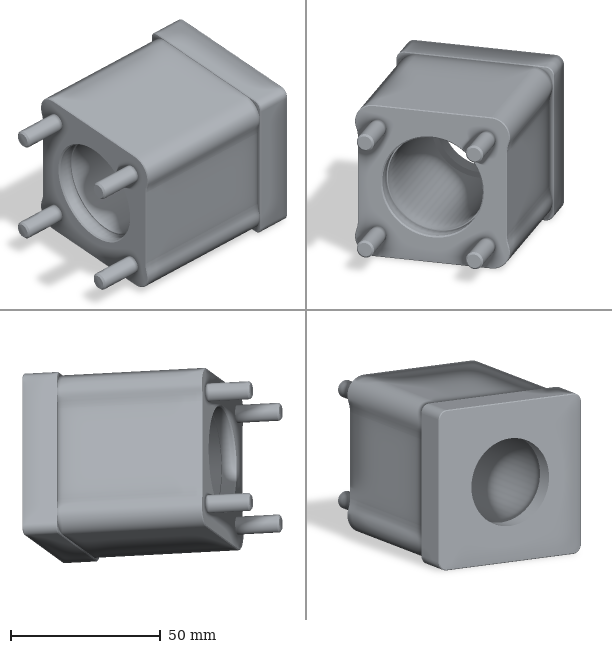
import cadquery as cq
import math

flange_length = 12.0
pin_length = 15.0
total_length = 77.0
body_length = total_length - flange_length - pin_length

flange_size = 55.0
flange_corner_radius = 3.0
body_size = 54.0
body_corner_radius = 6.5
waist_depth = 1.0
waist_blend_radius = 10.0
edge_chamfer = 0.3

bore_diameter = 30.0
counterbore_diameter = 34.0
mouth_diameter = 35.0
mouth_depth = 5.0
mouth_chamfer = 0.5
bore_floor_thickness = 6.0

pin_diameter = 6.0
pin_spacing = 38.0
pin_chamfer = 0.6

pin_tip_y = -total_length / 2
body_front_y = pin_tip_y + pin_length
flange_front_y = body_front_y + body_length
back_y = total_length / 2


def section_plane(y):
    """XZ sketch plane at y; extrusion runs towards +Y."""
    return cq.Workplane(cq.Plane(origin=(0, y, 0), xDir=(1, 0, 0), normal=(0, -1, 0)))


def cylinder(diameter, start_y, end_y):
    return section_plane(start_y).circle(diameter / 2).extrude(start_y - end_y)


def make_flange():
    block = section_plane(flange_front_y).rect(flange_size, flange_size).extrude(-flange_length)
    block = block.edges("|Y").fillet(flange_corner_radius)
    return block.faces("<Y or >Y").chamfer(edge_chamfer)


def make_body():
    """Rounded square whose left and right sides step in to a shallow waist by tangent arcs."""
    half = body_size / 2
    waist_x = half - waist_depth
    corner_center = half - body_corner_radius
    blend_angle = math.acos(1 - waist_depth / (body_corner_radius + waist_blend_radius))
    waist_end_z = corner_center - (body_corner_radius + waist_blend_radius) * math.sin(blend_angle)

    def corner_point(angle):
        return (corner_center + body_corner_radius * math.cos(angle),
                corner_center + body_corner_radius * math.sin(angle))

    def blend_point(angle):
        return (waist_x + waist_blend_radius * (1 - math.cos(angle)),
                waist_end_z + waist_blend_radius * math.sin(angle))

    corner_middle = corner_point((math.pi / 2 - blend_angle) / 2)
    quarter = (
        section_plane(body_front_y)
        .lineTo(waist_x, 0)
        .lineTo(waist_x, waist_end_z)
        .threePointArc(blend_point(blend_angle / 2), blend_point(blend_angle))
        .threePointArc(corner_middle, (corner_center, half))
        .lineTo(0, half)
        .close()
        .extrude(-body_length)
    )
    upper_half = quarter.union(quarter.mirror("YZ"))
    body = upper_half.union(upper_half.mirror("XY")).clean()
    return body.faces("<Y").chamfer(edge_chamfer)


def make_pins():
    return (
        section_plane(body_front_y)
        .rect(pin_spacing, pin_spacing, forConstruction=True)
        .vertices()
        .circle(pin_diameter / 2)
        .extrude(pin_length)
        .faces("<Y")
        .chamfer(pin_chamfer)
    )


def make_bore():
    """Stepped bore: a chamfered wide mouth, a long counterbore and a smaller through hole."""
    through_hole = cylinder(bore_diameter, body_front_y, back_y)
    counterbore = cylinder(counterbore_diameter, body_front_y, back_y - bore_floor_thickness)
    mouth = cylinder(mouth_diameter, body_front_y, body_front_y + mouth_depth)
    lead_in = (
        section_plane(body_front_y)
        .circle(mouth_diameter / 2 + mouth_chamfer)
        .workplane(offset=-mouth_chamfer)
        .circle(mouth_diameter / 2)
        .loft()
    )
    return through_hole.union(counterbore).union(mouth).union(lead_in)


result = make_flange().union(make_body()).cut(make_bore()).union(make_pins())